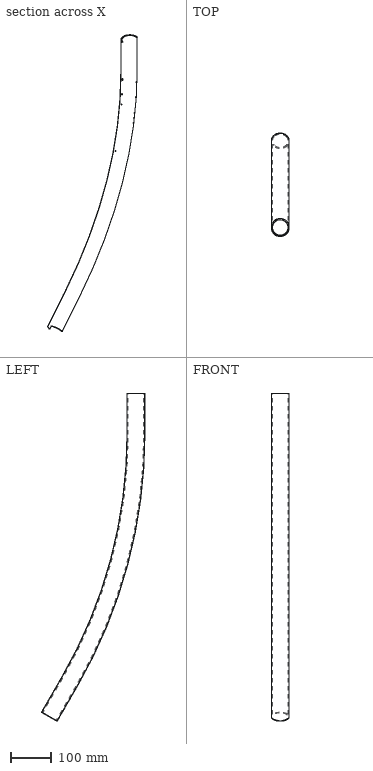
import cadquery as cq
import math

OUTER_DIAMETER = 44.45
INNER_DIAMETER = 38.35
STRAIGHT_LENGTH = 101.6
BEND_RADIUS = 1219.2
BEND_ANGLE = 30.0


def bend_point(angle_degrees):
    """Centreline (Y, Z) at an angle into the bend; the bend starts at the origin heading -Z."""
    angle = math.radians(angle_degrees)
    return BEND_RADIUS * (1 - math.cos(angle)), -BEND_RADIUS * math.sin(angle)


def centreline():
    """Path from the upper end, down through the bend towards +Y, to the lower end."""
    lean = math.radians(BEND_ANGLE)
    bend_end_y, bend_end_z = bend_point(BEND_ANGLE)
    lower_end = (
        bend_end_y + STRAIGHT_LENGTH * math.sin(lean),
        bend_end_z - STRAIGHT_LENGTH * math.cos(lean),
    )
    return (
        cq.Workplane("YZ")
        .moveTo(0, STRAIGHT_LENGTH)
        .lineTo(0, 0)
        .threePointArc(bend_point(BEND_ANGLE / 2), (bend_end_y, bend_end_z))
        .lineTo(*lower_end)
    )


def tube():
    """Ring section at the upper end, swept along the centreline."""
    return (
        cq.Workplane("XY", origin=(0, 0, STRAIGHT_LENGTH))
        .circle(OUTER_DIAMETER / 2)
        .circle(INNER_DIAMETER / 2)
        .sweep(centreline())
    )


result = tube()